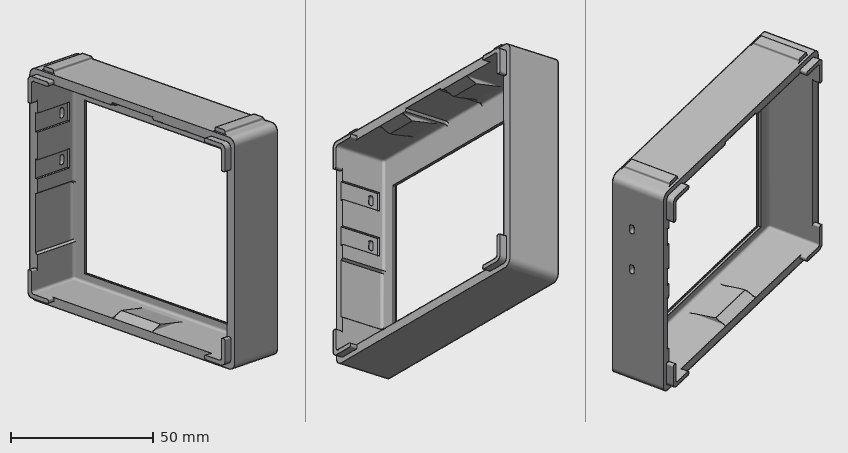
import cadquery as cq
import math


width = 102.6
height = 87.1
depth = 21.2
corner_radius = 3.0
side_wall = 3.8
end_wall = 3.6
back_thickness = 3.1
cavity_fillet = 1.0

window_side_margin = 8.9
window_bottom_margin = 7.0
window_top_margin = 15.1
window_bevel = 2.1

relief_depth = 1.0
relief_flare = 0.6
top_relief_length = 20.0
side_relief_length = 22.0
side_relief_z = 29.0
pocket_height = 7.2
pocket_reach = 16.0
slot_zs = (49.5, 67.0)
slot_y = 13.1
slot_width = 2.0
slot_length = 3.8

ridge_height = 1.8
ridge_peak_y = 4.3
ridge_end_y = 14.8
ridge_end_fillet = 0.4
bottom_ridge_length = 20.5
top_ridge_length = 14.2
top_ridge_x = 18.9

peg_length = 2.9
peg_inset = 2.0
peg_arm = 10.3
peg_radius = 2.1
peg_end_fillet = 0.6

rail_height = 1.5
rail_x = 42.9
rail_foot_width = 6.1
rail_fillet = 0.6
rail_front_gap = 1.0
rail_back_gap = 0.4
rail_back_slope = 1.0

inner_half_width = width / 2 - side_wall
inner_top = height - end_wall
cavity_depth = depth - back_thickness
window_width = width - 2 * window_side_margin
window_height = height - window_bottom_margin - window_top_margin
window_z = window_bottom_margin + window_height / 2


def block(x_range, y_range, z_range):
    """Box spanning the given (low, high) ranges."""
    size = [high - low for low, high in (x_range, y_range, z_range)]
    corner = (x_range[0], y_range[0], z_range[0])
    return cq.Workplane("XY").box(*size, centered=False).translate(corner)


def make_shell():
    """Rounded block with the bevelled window cut through it."""
    half = width / 2
    shell = block((-half, half), (0, depth), (0, height)).edges("|Y").fillet(corner_radius)
    window = block(
        (-window_width / 2, window_width / 2),
        (0, depth),
        (window_bottom_margin, height - window_top_margin),
    )
    bevel = (
        cq.Workplane("XZ", origin=(0, depth - window_bevel, window_z))
        .rect(window_width, window_height)
        .workplane(offset=-window_bevel)
        .rect(window_width + 2 * window_bevel, window_height + 2 * window_bevel)
        .loft()
    )
    return shell.cut(window).cut(bevel)


def make_relief(length, overlap):
    """Relief above Z = 0 with a flared mouth, overlapping the cavity below it."""
    half = length / 2
    mouth = half + relief_flare
    return (
        cq.Workplane("XZ")
        .polyline([
            (-half, relief_depth),
            (half, relief_depth),
            (mouth, 0),
            (mouth, -overlap),
            (-mouth, -overlap),
            (-mouth, 0),
        ])
        .close()
        .extrude(-cavity_depth)
    )


def make_cavity():
    """Main cavity plus a relief in the top and -X walls, rounded at the back plate."""
    y_range = (0, cavity_depth)
    main = block((-inner_half_width, inner_half_width), y_range, (end_wall, inner_top))
    main = main.edges("|Y").fillet(cavity_fillet)
    top_relief = make_relief(top_relief_length, inner_top - end_wall)
    side_relief = make_relief(side_relief_length, 2 * inner_half_width)
    cavity = main.union(top_relief.translate((0, 0, inner_top)))
    side_relief = side_relief.rotate((0, 0, 0), (0, 1, 0), -90)
    cavity = cavity.union(side_relief.translate((-inner_half_width, 0, side_relief_z)))
    return cavity.faces(">Y").edges().fillet(cavity_fillet)


def make_slot(z):
    """Shallow wall pocket with an upright slot through to the outside."""
    pocket = block(
        (-inner_half_width - relief_depth, -inner_half_width),
        (0, pocket_reach),
        (z - pocket_height / 2, z + pocket_height / 2),
    )
    slot = (
        cq.Workplane("YZ", origin=(-width / 2, slot_y, z))
        .slot2D(slot_length, slot_width, 90)
        .extrude(side_wall)
    )
    return pocket.union(slot)


def flared_bar(foot_width, bar_height, radius, length):
    """Bar along +Y on Z = 0 with concave fillets at its foot and rounded top edges."""
    foot = foot_width / 2
    side = foot - radius
    crown = side - radius
    shoulder = bar_height - radius
    arc = radius * math.sqrt(0.5)
    return (
        cq.Workplane("XZ")
        .moveTo(-foot, 0)
        .threePointArc((-foot + arc, radius - arc), (-side, radius))
        .lineTo(-side, shoulder)
        .threePointArc((-crown - arc, shoulder + arc), (-crown, bar_height))
        .lineTo(crown, bar_height)
        .threePointArc((crown + arc, shoulder + arc), (side, shoulder))
        .lineTo(side, radius)
        .threePointArc((foot - arc, radius - arc), (foot, 0))
        .close()
        .extrude(-length)
    )


def make_ridge(length):
    """Snap ridge standing on Z = 0: a wedge in depth with flared ends."""
    wedge = (
        cq.Workplane("YZ", origin=(-length / 2, 0, 0))
        .polyline([(0, 0), (ridge_peak_y, ridge_height), (ridge_end_y, 0)])
        .close()
        .extrude(length)
    )
    return wedge.intersect(flared_bar(length, ridge_height, ridge_end_fillet, ridge_end_y))


def make_peg():
    """L-shaped peg at the +X, +Z corner, continuing the cavity walls past the rim."""
    outer_x = width / 2 - peg_inset
    outer_z = height - peg_inset
    y_range = (-peg_length, 0)
    arms = block((outer_x - peg_arm, outer_x), y_range, (outer_z - peg_arm, outer_z))
    inside = block((0, inner_half_width), y_range, (height / 2, inner_top))
    arms = arms.edges("|Y and >X and >Z").fillet(peg_radius)
    peg = arms.cut(inside.edges("|Y and >X and >Z").fillet(cavity_fillet))
    for arm_end in ("|Y and <X", "|Y and <Z"):
        peg = peg.edges(arm_end).fillet(peg_end_fillet)
    return peg


def make_rail(x):
    """Rail along the top face with a sloping back end."""
    length = depth - rail_front_gap - rail_back_gap
    bar = flared_bar(rail_foot_width, rail_height, rail_fillet, length)
    back_corner = (
        cq.Workplane("YZ", origin=(-rail_foot_width / 2, 0, 0))
        .polyline([(length, 0), (length, rail_height), (length - rail_back_slope, rail_height)])
        .close()
        .extrude(rail_foot_width)
    )
    return bar.cut(back_corner).translate((x, rail_front_gap, height))


result = make_shell().cut(make_cavity())
for z in slot_zs:
    result = result.cut(make_slot(z))

result = result.union(make_ridge(bottom_ridge_length).translate((0, 0, end_wall)))
for side in (-1, 1):
    ridge = make_ridge(top_ridge_length).mirror("XY")
    result = result.union(ridge.translate((side * top_ridge_x, 0, inner_top)))
    result = result.union(make_rail(side * rail_x))

peg = make_peg()
for upper_peg in (peg, peg.mirror("YZ")):
    lower_peg = upper_peg.mirror("XY", (0, 0, height / 2))
    result = result.union(upper_peg).union(lower_peg)